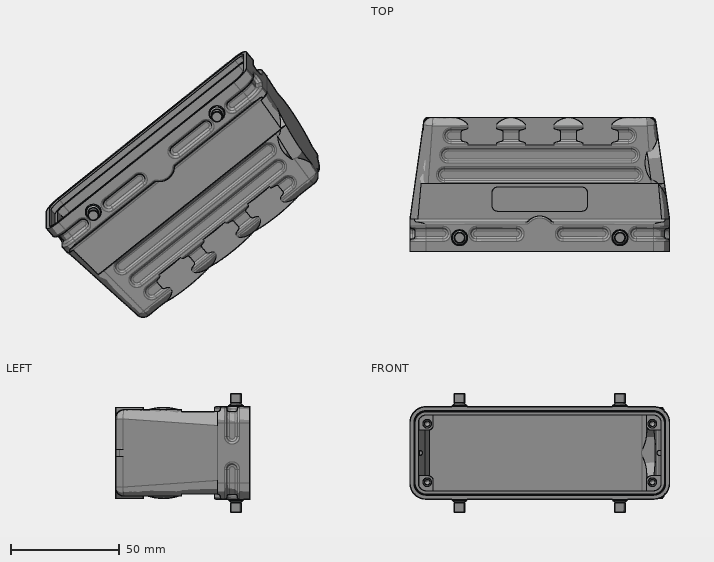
import cadquery as cq
import math


WIDTH = 120.0
FLANGE_HEIGHT = 42.8
FLANGE_RADIUS = 7.5
FLANGE_END = 15.0
SHOULDER_LIP = 0.9
FLANGE_TOP = FLANGE_HEIGHT / 2
HALF_WIDTH = WIDTH / 2
ARCH_RADIUS = 7.2
ARCH_Y = 9.2
ARCH_FOOT_RADIUS = 1.5

DEPTH = 62.0
BODY_HEIGHT = 40.0
BODY_TOP = BODY_HEIGHT / 2
BACK_HALF_WIDTH = 53.35
FRONT_CORNER_RADIUS = 7.3
BACK_CORNER_RADIUS = 4.0
BACK_FILLET = 3.9
BACK_TAB_RADIUS = 2.2
BACK_TAB_HEIGHT = 3.4
SIDE_SLOPE = (HALF_WIDTH - BACK_HALF_WIDTH) / (DEPTH - FLANGE_END)
SIDE_ANGLE = math.degrees(math.atan(SIDE_SLOPE))

PANEL_TOP = 19.05
PANEL_END = 31.5
LABEL_LENGTH = 44.2
LABEL_WIDTH = 11.2
LABEL_Y = 24.2
LABEL_RADIUS = 2.7
LABEL_DEPTH = 0.2

SHOULDER_FOOT = FLANGE_TOP - PANEL_TOP - SHOULDER_LIP
SHOULDER_WALL_Y = FLANGE_END - SHOULDER_FOOT

GRIP_ROWS = ((53.5, 44.7), (44.6, 46.2), (35.5, 47.7))
GRIP_HALF_WIDTH = 3.7
GRIP_FLOOR_HALF = 1.8
GRIP_DEPTH = 1.3

BAND_Y = 8.2
BAND_HALF_WIDTH = 3.5
BAND_FLOOR_HALF = 1.3
BAND_DEPTH = 2.3
BAND_INNER_START = 7.2
BAND_INNER_END = 32.8
BAND_CORNER_START = 41.1
BAND_SIDE_START = 4.1

BOSS_RADIUS = 21.05
BACK_BOSS_PITCH = 26.6
BACK_BOSS_START = 49.2
SIDE_BOSS_Y = 40.4
SIDE_BOSS_LENGTH = 6.0
SIDE_BOSS_CONE = 5.0
SIDE_BOSS_CONE_RADIUS = 18.0
KNOCKOUT_DIAMETER = 30.38
KNOCKOUT_WALL = 1.0

PIN_X = 37.05
PIN_Y = 6.4
PIN_RADIUS = 2.5
PIN_TIP = 27.5
PIN_CHAMFER = 0.25
PIN_FOOT_RADIUS = 3.7
PIN_COLLAR_RADIUS = 6.5 / 2
PIN_COLLAR_HEIGHT = 0.6
PIN_NECK_RADIUS = 4.8 / 2
PIN_NECK_START = 1.2
PIN_NECK_END = 1.8

RIM_WIDTH = 1.85
RIM_BEVEL_INSET = 2.2
RIM_BEVEL_DEPTH = 0.8
LEDGE_OUTER = 2.4
RECESS_DEPTH = 3.5
CAVITY_INSET = 3.9
CAVITY_HEIGHT = FLANGE_HEIGHT - 2 * CAVITY_INSET
CAVITY_HALF_WIDTH = HALF_WIDTH - CAVITY_INSET
CAVITY_RADIUS = FLANGE_RADIUS - CAVITY_INSET
CAVITY_BACK = 54.4
LEFT_WALL_END = (-52.9, 52.0)
LEFT_FLOOR_X = -51.0
STEP_Y = 19.4
STEP_WALL_X = 53.9
STEP_ROUND = 1.3
RIGHT_WALL_BACK_X = 49.0
RIGHT_FILLET = 2.0

POST_FRONT = 9.2
POST_X = 49.2
POST_Z = 10.5
POST_ROUND = 2.4
SCREW_X = 52.0
SCREW_Z = 13.5
SCREW_DIAMETER = 2.5
SCREW_MOUTH_DIAMETER = 4.0
SCREW_TAPER = 4.0
SCREW_DEPTH = 12.0
RIB_RADIUS = 1.2
RIB_X = 55.4
RIB_START = 10.3
RIB_END = 20.0

OVERLAP = 1.0


def rounded_loft(start, end):
    """Solid between two (y, width, height, corner radius) sections."""
    sections = []
    for y, width, height, radius in (start, end):
        sketch = cq.Sketch().rect(width, height).vertices().fillet(radius)
        plate = cq.Workplane("XZ", origin=(0, y, 0)).placeSketch(sketch).extrude(-OVERLAP)
        sections.append(plate.faces("<Y").wires().val())
    return cq.Workplane(cq.Solid.makeLoft(sections, True))


def mirrored(shape, *planes):
    """Shape joined with its mirror images."""
    for plane in planes:
        shape = shape.union(shape.mirror(plane))
    return shape


def side_x(y):
    """X of the sloped right side face at depth y."""
    return HALF_WIDTH - SIDE_SLOPE * (y - FLANGE_END)


def body_outline(height):
    """Slab with the body's plan outline and small back corners."""
    front = side_x(FLANGE_END)
    slab = (
        cq.Workplane("XY", origin=(0, 0, -height / 2))
        .moveTo(-front, FLANGE_END)
        .lineTo(front, FLANGE_END)
        .lineTo(BACK_HALF_WIDTH, DEPTH)
        .lineTo(-BACK_HALF_WIDTH, DEPTH)
        .close()
        .extrude(height)
    )
    return slab.edges("|Z and >Y").fillet(BACK_TAB_RADIUS)


def groove_points(half_width, floor_half, depth):
    """Points of one groove flank: lip, arc middle, waist, arc middle, floor edge."""
    run = (half_width - floor_half) / 2
    drop = depth / 2
    radius = (run**2 + drop**2) / (2 * drop)
    half_turn = math.atan(drop / run)
    bulge_run = radius * math.sin(half_turn)
    bulge_drop = radius * (1 - math.cos(half_turn))
    return (
        (half_width, 0),
        (half_width - bulge_run, -bulge_drop),
        (half_width - run, -drop),
        (floor_half + bulge_run, bulge_drop - depth),
        (floor_half, -depth),
    )


def groove_profile(workplane, flank, both_sides):
    """Closed groove section; local x across the groove, local y out of the face."""
    lip, lip_mid, waist, floor_mid, floor = flank

    def flip(point):
        return (-point[0], point[1])

    profile = workplane.moveTo(lip[0], OVERLAP).lineTo(*lip)
    profile = profile.threePointArc(lip_mid, waist).threePointArc(floor_mid, floor)
    if not both_sides:
        return profile.lineTo(0, floor[1]).lineTo(0, OVERLAP).close()
    profile = profile.lineTo(*flip(floor))
    profile = profile.threePointArc(flip(floor_mid), flip(waist)).threePointArc(flip(lip_mid), flip(lip))
    return profile.lineTo(-lip[0], OVERLAP).close()


def groove_run(flank, length):
    """Groove from X = 0 toward -X, open at X = 0 and rounded at its far end."""
    center = flank[0][0] - length
    run = groove_profile(cq.Workplane("YZ", origin=(center, 0, 0)), flank, True).extrude(-center)
    round_end = groove_profile(cq.Workplane("XZ", origin=(center, 0, 0)), flank, False)
    return run.union(round_end.revolve(360, (0, 0), (0, 1)))


def groove_cutter(start, end, half_width, floor_half, depth):
    """Round-ended groove along X from start to end, lips on Z = 0, centred on Y = 0."""
    half = groove_run(groove_points(half_width, floor_half, depth), (end - start) / 2)
    return mirrored(half, "YZ").translate(((start + end) / 2, 0, 0))


def make_body():
    body = rounded_loft(
        (FLANGE_END, WIDTH, BODY_HEIGHT, FRONT_CORNER_RADIUS),
        (DEPTH, 2 * BACK_HALF_WIDTH, BODY_HEIGHT, BACK_CORNER_RADIUS),
    )
    body = body.faces(">Y").edges().fillet(BACK_FILLET)
    body = body.union(side_boss()).cut(lowered_panels()).cut(label_recess())
    for y, half_length in GRIP_ROWS:
        groove = groove_cutter(-half_length, half_length, GRIP_HALF_WIDTH, GRIP_FLOOR_HALF, GRIP_DEPTH)
        body = body.cut(mirrored(groove.translate((0, y, BODY_TOP)), "XY"))
    body = body.union(body_outline(BACK_TAB_HEIGHT))
    for column in (-1, 0, 1):
        body = body.union(back_boss(column * BACK_BOSS_PITCH))
    return body


def lowered_panels():
    panel = cq.Workplane("XY").box(WIDTH, PANEL_END, BODY_HEIGHT, centered=(True, False, False))
    return mirrored(panel.translate((0, 0, PANEL_TOP)), "XY")


def label_recess():
    recess = cq.Workplane("XY", origin=(0, LABEL_Y, PANEL_TOP - LABEL_DEPTH))
    recess = recess.rect(LABEL_LENGTH, LABEL_WIDTH).extrude(OVERLAP)
    return recess.edges("|Z").fillet(LABEL_RADIUS)


def back_boss(x):
    disc = cq.Workplane("XZ", origin=(x, BACK_BOSS_START, 0)).circle(BOSS_RADIUS)
    return disc.extrude(BACK_BOSS_START - DEPTH)


def along_side_normal(profile):
    """Revolve an (axial, radial) profile about the sloped side's normal."""
    turned = cq.Workplane("XY").polyline(profile).close().revolve(360, (0, 0), (1, 0))
    turned = turned.rotate((0, 0, 0), (0, 0, 1), SIDE_ANGLE)
    return turned.translate((side_x(SIDE_BOSS_Y), SIDE_BOSS_Y, 0))


def side_boss():
    cone_start = -SIDE_BOSS_LENGTH - SIDE_BOSS_CONE
    boss = along_side_normal([
        (cone_start, 0),
        (cone_start, SIDE_BOSS_CONE_RADIUS),
        (-SIDE_BOSS_LENGTH, BOSS_RADIUS),
        (OVERLAP, BOSS_RADIUS),
        (OVERLAP, 0),
    ])
    return boss.intersect(body_outline(2 * BOSS_RADIUS + OVERLAP))


def shoulder():
    """S-shaped step from the flange faces down to the lowered panels."""
    lip_bend = SHOULDER_LIP * math.sqrt(0.5)
    foot_bend = SHOULDER_FOOT * (1 - math.sqrt(0.5))
    lip_y = SHOULDER_WALL_Y - SHOULDER_LIP
    lip_z = FLANGE_TOP - SHOULDER_LIP
    profile = (
        cq.Workplane("YZ", origin=(-HALF_WIDTH, 0, 0))
        .moveTo(0, 0)
        .lineTo(0, FLANGE_TOP)
        .lineTo(lip_y, FLANGE_TOP)
        .threePointArc((lip_y + lip_bend, lip_z + lip_bend), (SHOULDER_WALL_Y, lip_z))
        .threePointArc((SHOULDER_WALL_Y + foot_bend, PANEL_TOP + foot_bend), (FLANGE_END, PANEL_TOP))
        .lineTo(FLANGE_END, 0)
        .close()
    )
    return mirrored(profile.extrude(WIDTH), "XY")


def arch():
    """Round bulge of the flange edge, blended into the shoulder wall by small arcs."""
    reach = ARCH_RADIUS + ARCH_FOOT_RADIUS
    foot_rise = SHOULDER_WALL_Y + ARCH_FOOT_RADIUS - ARCH_Y
    foot_x = math.sqrt(reach**2 - foot_rise**2)
    touch_x = foot_x * ARCH_RADIUS / reach
    touch_y = ARCH_Y + foot_rise * ARCH_RADIUS / reach
    half_angle = math.atan2(foot_x, foot_rise) / 2
    mid_x = foot_x - ARCH_FOOT_RADIUS * math.sin(half_angle)
    mid_y = SHOULDER_WALL_Y + ARCH_FOOT_RADIUS * (1 - math.cos(half_angle))
    bulge = (
        cq.Workplane("XY", origin=(0, 0, -FLANGE_TOP))
        .moveTo(-foot_x, ARCH_Y)
        .lineTo(-foot_x, SHOULDER_WALL_Y)
        .threePointArc((-mid_x, mid_y), (-touch_x, touch_y))
        .threePointArc((0, ARCH_Y + ARCH_RADIUS), (touch_x, touch_y))
        .threePointArc((mid_x, mid_y), (foot_x, SHOULDER_WALL_Y))
        .lineTo(foot_x, ARCH_Y)
        .close()
        .extrude(FLANGE_HEIGHT)
    )
    return bulge.faces("|Z").edges("%CIRCLE").fillet(SHOULDER_LIP)


def make_flange():
    section = (WIDTH, FLANGE_HEIGHT, FLANGE_RADIUS)
    flange = rounded_loft((0, *section), (FLANGE_END, *section)).intersect(shoulder())
    return flange.union(arch())


def corner_groove(flank, corner_x, corner_z):
    """Groove around the +X +Z corner of the flange, running on along both faces."""
    lip_plane = cq.Workplane("YZ", origin=(corner_x, BAND_Y, FLANGE_TOP))
    turn = groove_profile(lip_plane, flank, True)
    turn = turn.revolve(90, (0, -FLANGE_RADIUS), (1, -FLANGE_RADIUS))
    along_top = groove_run(flank, corner_x - BAND_CORNER_START)
    along_top = along_top.translate((corner_x, BAND_Y, FLANGE_TOP))
    along_side = groove_run(flank, corner_z - BAND_SIDE_START).mirror("YZ")
    along_side = along_side.rotate((0, 0, 0), (0, 1, 0), 90)
    along_side = along_side.translate((HALF_WIDTH, BAND_Y, corner_z))
    return turn.union(along_top).union(along_side)


def band_grooves():
    sizes = (BAND_HALF_WIDTH, BAND_FLOOR_HALF, BAND_DEPTH)
    inner = groove_cutter(BAND_INNER_START, BAND_INNER_END, *sizes)
    inner = inner.translate((0, BAND_Y, FLANGE_TOP))
    corner = corner_groove(groove_points(*sizes), HALF_WIDTH - FLANGE_RADIUS, FLANGE_TOP - FLANGE_RADIUS)
    return mirrored(inner.union(corner), "YZ", "XY")


def locking_pins():
    neck_end = FLANGE_TOP + PIN_NECK_END
    pin = (
        cq.Workplane("XZ")
        .moveTo(0, FLANGE_TOP - OVERLAP)
        .lineTo(PIN_FOOT_RADIUS, FLANGE_TOP - OVERLAP)
        .lineTo(PIN_FOOT_RADIUS, FLANGE_TOP)
        .lineTo(PIN_COLLAR_RADIUS, FLANGE_TOP + PIN_COLLAR_HEIGHT)
        .lineTo(PIN_NECK_RADIUS, FLANGE_TOP + PIN_NECK_START)
        .lineTo(PIN_NECK_RADIUS, neck_end)
        .lineTo(PIN_RADIUS, neck_end)
        .lineTo(PIN_RADIUS, PIN_TIP - PIN_CHAMFER)
        .lineTo(PIN_RADIUS - PIN_CHAMFER, PIN_TIP)
        .lineTo(0, PIN_TIP)
        .close()
        .revolve(360, (0, 0), (0, 1))
        .translate((PIN_X, PIN_Y, 0))
    )
    return mirrored(pin, "YZ", "XY")


def screw_posts():
    size_x = HALF_WIDTH - POST_X
    size_z = FLANGE_TOP - POST_Z
    post = cq.Workplane("XY").box(size_x, DEPTH - POST_FRONT, size_z, centered=False)
    post = post.edges("|Y and <X and <Z").fillet(POST_ROUND)
    return mirrored(post.translate((POST_X, POST_FRONT, POST_Z)), "YZ", "XY")


def screw_holes():
    radius = SCREW_DIAMETER / 2
    mouth_radius = SCREW_MOUTH_DIAMETER / 2
    hole_end = POST_FRONT + SCREW_DEPTH
    hole = (
        cq.Workplane("XY")
        .moveTo(0, POST_FRONT)
        .lineTo(mouth_radius, POST_FRONT)
        .lineTo(radius, POST_FRONT + SCREW_TAPER)
        .lineTo(radius, hole_end)
        .lineTo(0, hole_end + radius)
        .close()
        .revolve(360, (0, 0), (0, 1))
        .translate((SCREW_X, 0, SCREW_Z))
    )
    return mirrored(hole, "YZ", "XY")


def guide_ribs():
    rib = cq.Workplane("XZ", origin=(RIB_X, RIB_START, 0)).circle(RIB_RADIUS).extrude(RIB_START - RIB_END)
    return mirrored(rib, "YZ")


def cavity():
    step_bend = STEP_ROUND * (1 - math.sqrt(0.5))
    inside = (
        cq.Workplane("XY", origin=(0, 0, -CAVITY_HEIGHT / 2))
        .moveTo(-CAVITY_HALF_WIDTH, 0)
        .lineTo(CAVITY_HALF_WIDTH, 0)
        .lineTo(CAVITY_HALF_WIDTH, STEP_Y)
        .lineTo(STEP_WALL_X + STEP_ROUND, STEP_Y)
        .threePointArc((STEP_WALL_X + step_bend, STEP_Y + step_bend), (STEP_WALL_X, STEP_Y + STEP_ROUND))
        .lineTo(RIGHT_WALL_BACK_X, CAVITY_BACK)
        .lineTo(LEFT_FLOOR_X, CAVITY_BACK)
        .lineTo(*LEFT_WALL_END)
        .lineTo(-CAVITY_HALF_WIDTH, RECESS_DEPTH)
        .close()
        .extrude(CAVITY_HEIGHT)
    )
    back_edge = cq.selectors.NearestToPointSelector((RIGHT_WALL_BACK_X, CAVITY_BACK, 0))
    inside = inside.edges(back_edge).fillet(RIGHT_FILLET)
    mouth_section = (2 * CAVITY_HALF_WIDTH, CAVITY_HEIGHT, CAVITY_RADIUS)
    inside = inside.intersect(rounded_loft((0, *mouth_section), (DEPTH, *mouth_section)))
    knockout_radius = KNOCKOUT_DIAMETER / 2
    knockout = along_side_normal([
        (-SIDE_BOSS_LENGTH - SIDE_BOSS_CONE, 0),
        (-SIDE_BOSS_LENGTH - SIDE_BOSS_CONE, knockout_radius),
        (-KNOCKOUT_WALL, knockout_radius),
        (-KNOCKOUT_WALL, 0),
    ])
    inside = inside.union(knockout).cut(screw_posts()).cut(guide_ribs())
    return inside.union(mouth_recess())


def inset_section(y, inset):
    """Flange outline at depth y, moved inward by inset."""
    return (y, WIDTH - 2 * inset, FLANGE_HEIGHT - 2 * inset, FLANGE_RADIUS - inset)


def mouth_recess():
    bevel_end = inset_section(RIM_BEVEL_DEPTH, RIM_BEVEL_INSET)
    bevel = rounded_loft(inset_section(0, RIM_WIDTH), bevel_end)
    return bevel.union(rounded_loft(bevel_end, inset_section(RECESS_DEPTH, LEDGE_OUTER)))


hood = make_body().union(make_flange()).cut(band_grooves()).union(locking_pins())
result = hood.cut(cavity()).cut(screw_holes())